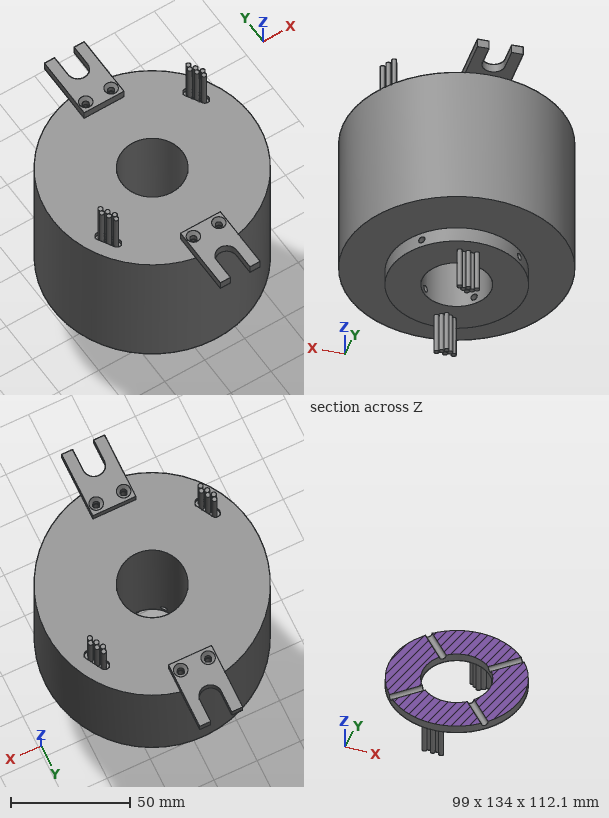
import cadquery as cq
import math

housing_diameter = 99.0
housing_height = 65.5
bore_diameter = 30.0
neck_diameter = 54.0
neck_height = 1.6
flange_diameter = 60.2
flange_height = 7.0
flange_bottom = -(neck_height + flange_height)

set_screw_diameter = 3.0
set_screw_angles = (45, 135, 225, 315)

overall_length = 134.0
bracket_length = 30.3
bracket_width = 20.0
bracket_thickness = 4.0
fork_width = 9.8
fork_depth = 15.1

screw_radius = 41.0
screw_spacing = 12.7
screw_hole_diameter = 3.0
countersink_diameter = 6.0
countersink_angle = 90
tapped_hole_diameter = 2.4
tapped_hole_depth = 8.0
drill_tip_angle = 118

wire_diameter = 2.1
wire_length = 19.0
wire_root = 2.0
upper_bundle_radius = 41.0
upper_bundle_angle = 30
recess_length = 12.0
recess_width = 4.0
upper_wire_pitch = 3.4
upper_row_gap = 1.6
upper_row_stagger = 1.5
lower_outer_row_radius = 23.0
lower_bundle_offset = 1.5
lower_row_count = 3
lower_wire_pitch = 3.8
lower_row_gap = 1.2


def cylinder(diameter, bottom, height, x=0.0, y=0.0):
    """Vertical cylinder standing on the given level."""
    return cq.Workplane("XY", origin=(x, y, bottom)).circle(diameter / 2).extrude(height)


def make_body():
    housing = cylinder(housing_diameter, 0, housing_height)
    neck = cylinder(neck_diameter, -neck_height, neck_height)
    flange = cylinder(flange_diameter, flange_bottom, flange_height)
    bore = cylinder(bore_diameter, flange_bottom, housing_height - flange_bottom)
    return housing.union(neck).union(flange).cut(bore)


def cut_set_screw_holes(body):
    hole_level = flange_bottom + flange_height / 2
    for angle in set_screw_angles:
        hole = (
            cq.Workplane("YZ")
            .center(0, hole_level)
            .circle(set_screw_diameter / 2)
            .extrude(flange_diameter / 2)
            .rotate((0, 0, 0), (0, 0, 1), angle)
        )
        body = body.cut(hole)
    return body


def make_bracket():
    """Bracket on the +Y side, its fork open outward."""
    outer_end = overall_length / 2
    fork_center = outer_end - fork_depth + fork_width / 2
    half_width = bracket_width / 2
    half_fork = fork_width / 2
    return (
        cq.Workplane("XY", origin=(0, 0, housing_height))
        .moveTo(-half_width, outer_end - bracket_length)
        .lineTo(half_width, outer_end - bracket_length)
        .lineTo(half_width, outer_end)
        .lineTo(half_fork, outer_end)
        .lineTo(half_fork, fork_center)
        .threePointArc((0, outer_end - fork_depth), (-half_fork, fork_center))
        .lineTo(-half_fork, outer_end)
        .lineTo(-half_width, outer_end)
        .close()
        .extrude(bracket_thickness)
    )


def make_screw_hole(x, y):
    """Countersink, clearance hole and pointed tapped hole as one revolved cutter."""
    countersink_radius = countersink_diameter / 2
    clearance_radius = screw_hole_diameter / 2
    tapped_radius = tapped_hole_diameter / 2
    countersink_depth = (countersink_radius - clearance_radius) / math.tan(math.radians(countersink_angle / 2))
    tip_depth = tapped_radius / math.tan(math.radians(drill_tip_angle / 2))
    bracket_top = housing_height + bracket_thickness
    tapped_bottom = housing_height - tapped_hole_depth
    profile = [
        (0, bracket_top),
        (countersink_radius, bracket_top),
        (clearance_radius, bracket_top - countersink_depth),
        (clearance_radius, housing_height),
        (tapped_radius, housing_height),
        (tapped_radius, tapped_bottom),
        (0, tapped_bottom - tip_depth),
    ]
    cutter = cq.Workplane("XZ").polyline(profile).close().revolve(360, (0, 0), (0, 1))
    return cutter.translate((x, y, 0))


def add_brackets(body):
    bracket = make_bracket()
    body = body.union(bracket).union(bracket.mirror("XZ"))
    for x in (-screw_spacing / 2, screw_spacing / 2):
        for y in (-screw_radius, screw_radius):
            body = body.cut(make_screw_hole(x, y))
    return body


def add_upper_bundles(body):
    """Two oblong recesses with six staggered wires each, on opposite sides of the axis."""
    angle = math.radians(upper_bundle_angle)
    for side in (1, -1):
        center_x = side * upper_bundle_radius * math.cos(angle)
        center_y = side * upper_bundle_radius * math.sin(angle)
        recess_floor = cq.Workplane("XY", origin=(center_x, center_y, housing_height - wire_root))
        recess = recess_floor.slot2D(recess_length, recess_width, upper_bundle_angle + 90).extrude(wire_root)
        body = body.cut(recess)
        for row in (-0.5, 0.5):
            for place in (-1, 0, 1):
                radial = row * upper_row_gap
                tangential = place * upper_wire_pitch + row * upper_row_stagger
                x = center_x + radial * math.cos(angle) - tangential * math.sin(angle)
                y = center_y + radial * math.sin(angle) + tangential * math.cos(angle)
                wire = cylinder(wire_diameter, housing_height - wire_root, wire_length + wire_root, x, y)
                body = body.union(wire)
    return body


def add_lower_bundles(body):
    """Two bundles under the flange, stacked in rows of three, two and one toward the axis."""
    for side in (1, -1):
        for row in range(lower_row_count):
            wire_count = lower_row_count - row
            y = side * (lower_outer_row_radius - row * lower_row_gap)
            for place in range(wire_count):
                x = side * (lower_bundle_offset + (place - (wire_count - 1) / 2) * lower_wire_pitch)
                wire = cylinder(wire_diameter, flange_bottom - wire_length, wire_length + wire_root, x, y)
                body = body.union(wire)
    return body


result = make_body()
result = cut_set_screw_holes(result)
result = add_brackets(result)
result = add_upper_bundles(result)
result = add_lower_bundles(result)